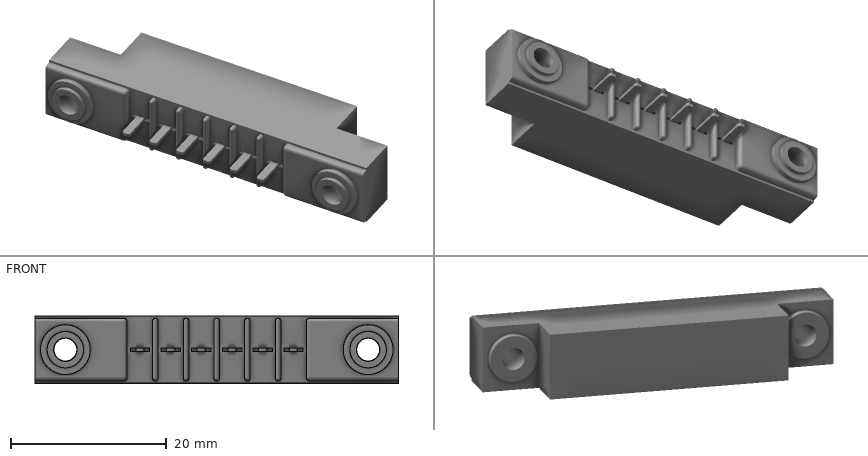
import cadquery as cq


LENGTH = 46.8
HEIGHT = 8.7
BODY_DEPTH = 10.85
EAR_DEPTH = 5.47
EAR_LENGTH = 7.5

RAISED_DEPTH = 0.95
RAISED_MARGIN = 0.35
RAISED_HEIGHT = HEIGHT - 2 * RAISED_MARGIN
PAD_LENGTH = 11.9
PAD_ROUND = 0.45
RIB_WIDTH = 0.7
RIB_ROUND = 0.345

TERMINAL_COUNT = 6
TERMINAL_SPAN = 19.75
TERMINAL_PITCH = TERMINAL_SPAN / (TERMINAL_COUNT - 1)
TERMINAL_WIDTH = 1.08
TERMINAL_THICKNESS = 0.4
TERMINAL_REACH = 4.02
TERMINAL_TIP_ROUND = 0.35
SLOT_WIDTH = 2.5
SLOT_DEPTH = 2.35

BUSHING_INSET = 3.95
BORE_DIAMETER = 2.95
BARREL_DIAMETER = 4.7
FLANGE_DIAMETER = 6.4
FLANGE_THICKNESS = 0.7
FLANGE_ROUND = 0.2
NOSE_LENGTH = 0.55

terminal_places = [(i - (TERMINAL_COUNT - 1) / 2) * TERMINAL_PITCH for i in range(TERMINAL_COUNT)]
rib_places = [x + TERMINAL_PITCH / 2 for x in terminal_places[:-1]]
bushing_places = [side * (LENGTH / 2 - BUSHING_INSET) for side in (-1, 1)]


def block(width, front, back, height):
    """Box centred on X and Z that runs from Y = front to Y = back."""
    depth = back - front
    return cq.Workplane("XY").box(width, depth, height).translate((0, (front + back) / 2, 0))


def disc(diameter, front, back):
    """Cylinder along Y from Y = front to Y = back."""
    return cq.Workplane("XZ", origin=(0, back, 0)).circle(diameter / 2).extrude(back - front)


def make_left_pad():
    """Pad flush with the left end of the housing and rounded on its other edges."""
    pad = block(PAD_LENGTH, -RAISED_DEPTH, 0, RAISED_HEIGHT)
    pad = pad.edges("(<Y and (not <X)) or (>X and |Y)").fillet(PAD_ROUND)
    return pad.translate(((PAD_LENGTH - LENGTH) / 2, 0, 0))


def make_rib():
    """Separator between two terminals, rounded on every free edge."""
    rib = block(RIB_WIDTH, -RAISED_DEPTH, 0, RAISED_HEIGHT)
    return rib.edges("<Y or |Y").fillet(RIB_ROUND)


def make_housing():
    housing = block(LENGTH, 0, EAR_DEPTH, HEIGHT)
    housing = housing.union(block(LENGTH - 2 * EAR_LENGTH, 0, BODY_DEPTH, HEIGHT))

    left_pad = make_left_pad()
    housing = housing.union(left_pad).union(left_pad.mirror("YZ"))
    rib = make_rib()
    for x in rib_places:
        housing = housing.union(rib.translate((x, 0, 0)))

    slot = block(SLOT_WIDTH, 0, SLOT_DEPTH, TERMINAL_THICKNESS)
    for x in terminal_places:
        housing = housing.cut(slot.translate((x, 0, 0)))

    bushing_hole = disc(BARREL_DIAMETER, -RAISED_DEPTH, EAR_DEPTH)
    for x in bushing_places:
        housing = housing.cut(bushing_hole.translate((x, 0, 0)))
    return housing


def make_terminal(x):
    """Flat blade that stands on the floor of its slot and fills the slot height."""
    terminal = block(TERMINAL_WIDTH, -TERMINAL_REACH, SLOT_DEPTH, TERMINAL_THICKNESS)
    terminal = terminal.edges("<Y and |Z").fillet(TERMINAL_TIP_ROUND)
    return terminal.translate((x, 0, 0))


def make_bushing(x):
    """Tube through an ear with a flange on each side and a nose in front."""
    flange_front = -RAISED_DEPTH - FLANGE_THICKNESS
    flange_back = EAR_DEPTH + FLANGE_THICKNESS
    nose_front = flange_front - NOSE_LENGTH

    bushing = disc(BARREL_DIAMETER, nose_front, EAR_DEPTH)
    bushing = bushing.union(disc(FLANGE_DIAMETER, flange_front, -RAISED_DEPTH))
    back_flange = disc(FLANGE_DIAMETER, EAR_DEPTH, flange_back).edges(">Y").fillet(FLANGE_ROUND)
    bushing = bushing.union(back_flange)
    bushing = bushing.cut(disc(BORE_DIAMETER, nose_front, flange_back))
    return bushing.translate((x, 0, 0))


housing = make_housing()
terminals = [make_terminal(x) for x in terminal_places]
bushings = [make_bushing(x) for x in bushing_places]

result = cq.Compound.makeCompound(
    [housing.val(), *[terminal.val() for terminal in terminals], *[bushing.val() for bushing in bushings]]
)